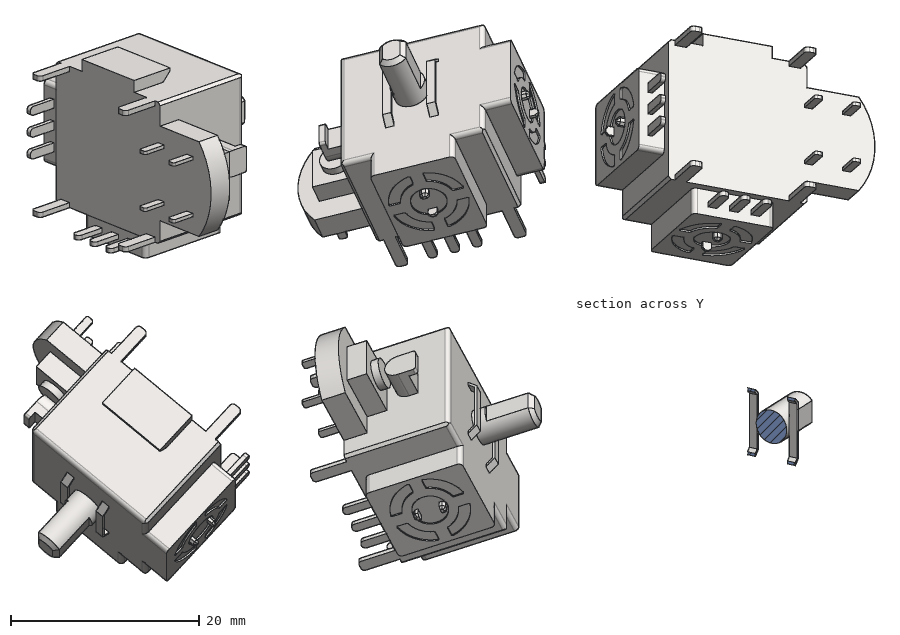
import cadquery as cq
import math


housing_width = 16.23
housing_height = 12.15
housing_corner_chamfer = 0.33
housing_top_fillet = 0.5
half_width = housing_width / 2

overlap = 0.55

stick_diameter = 3.85
stick_flat_width = 2.95
stick_flat_start = 13.7
stick_tip = 19.0
stick_tip_chamfer = 0.5
stick_root = 8.36

band_center_x = 2.48
band_width = 0.98
band_thickness = 0.28
band_top = 13.2
band_half_length = 3.23
band_bend_angle = 45

pot_depth = 2.95
pot_width = 9.48
pot_height = 11.15
pot_corner_fillet = 0.5
pot_center_y = housing_height - pot_height / 2
pot_face = half_width + pot_depth
recess_depth = 0.2
dial_diameter = 3.9
slot_inner_radius = 3.0
slot_outer_radius = 4.3
slot_rib_width = 1.45
slot_corner_fillet = 0.17

prong_width = 1.0
prong_thickness = 0.6
prong_protrusion = 0.75
prong_outer_span = 3.68
prong_side_chamfer = 0.28
prong_tip_chamfer = 0.28

terminal_width = 1.03
terminal_thickness = 0.53
terminal_end = -2.43
terminal_fillet = 0.47
terminal_pitch = 2.5
terminal_offset = 9.79

mount_pin_width = 1.35
mount_pin_thickness = 0.59
mount_pin_end = -4.32
mount_pin_fillet = 0.42
mount_pin_x = 6.65

switch_pin_width = 0.92
switch_pin_thickness = 0.4
switch_pin_end = -2.75
switch_pin_fillet = 0.25
switch_pin_z = 3.25
switch_pin_columns = (8.28, 12.75)


latch_width = 8.15
latch_depth = 1.37
latch_height = 5.2
latch_lip = 0.35
latch_slope = latch_depth - latch_lip

base_straight_end = 14.15
base_tip = 16.05
base_half_width = 5.45
base_height = 2.7
switch_center_x = 10.87
switch_top = 4.95
switch_size = 2 * (switch_center_x - half_width)
button_diameter = 3.35
button_top = 5.83

arm_end = 11.32
arm_bottom = 6.05
arm_radius = 1.5
arm_top = 8.6
hook_top = 9.6
hook_length = 0.7
hook_fillet = 0.28


def box(x0, x1, y0, y1, z0, z1):
    return cq.Workplane("XY").box(x1 - x0, y1 - y0, z1 - z0, centered=False).translate((x0, y0, z0))


def cylinder_y(diameter, x, y0, y1):
    """Cylinder along Y with its axis at Z = 0."""
    return cq.Workplane("XZ").circle(diameter / 2).extrude(-(y1 - y0)).translate((x, y0, 0))


def flat_pin(x, z, width, thickness, y_end, y_root, end_fillet):
    """Flat pin, wide along X, with the corners of its lower end rounded."""
    pin = box(x - width / 2, x + width / 2, y_end, y_root + overlap, z - thickness / 2, z + thickness / 2)
    return pin.faces("<Y").edges("|Z").fillet(end_fillet)


def make_housing():
    """Block with rounded upper edges, its four upright corners cut off flat."""
    block = box(-half_width, half_width, 0, housing_height, -half_width, half_width)
    chamfered = block.edges("|Y").chamfer(housing_corner_chamfer)
    rounded = block.faces(">Y").edges().fillet(housing_top_fillet)
    return rounded.intersect(chamfered)


def make_stick():
    """Round stick with two opposite flats; round side and flats share the same tip chamfer."""
    radius = stick_diameter / 2
    flat_x = stick_flat_width / 2
    round_stick = cylinder_y(stick_diameter, 0, stick_root, stick_tip).faces(">Y").chamfer(stick_tip_chamfer)
    half_profile = [
        (0, stick_root),
        (radius, stick_root),
        (radius, stick_flat_start),
        (flat_x, stick_flat_start),
        (flat_x, stick_tip - stick_tip_chamfer),
        (flat_x - stick_tip_chamfer, stick_tip),
        (0, stick_tip),
    ]
    flats = cq.Workplane("XY").polyline(half_profile).mirrorY().extrude(radius, both=True)
    return round_stick.intersect(flats)


def make_band(x):
    """Bent strip: level on top, with 45 degree legs running down into the housing."""
    foot = housing_height - band_thickness
    leg_drop = band_top - foot
    inner_half = band_half_length - band_thickness * math.tan(math.radians(band_bend_angle / 2))
    inner_top = band_top - band_thickness
    inner_foot = inner_half + inner_top - foot
    outline = [
        (foot, band_half_length + leg_drop),
        (band_top, band_half_length),
        (band_top, -band_half_length),
        (foot, -band_half_length - leg_drop),
        (foot, -inner_foot),
        (inner_top, -inner_half),
        (inner_top, inner_half),
        (foot, inner_foot),
    ]
    band = cq.Workplane("YZ").polyline(outline).close().extrude(band_width)
    return band.translate((x - band_width / 2, 0, 0))


def make_slots():
    """Four rounded quarter-ring recesses, separated by a plus-shaped rib."""
    ring = (
        cq.Workplane("XY")
        .circle(slot_outer_radius)
        .circle(slot_inner_radius)
        .extrude(recess_depth)
    )
    rib_length = 2 * slot_outer_radius
    ring = ring.cut(cq.Workplane("XY").rect(rib_length, slot_rib_width).extrude(recess_depth))
    ring = ring.cut(cq.Workplane("XY").rect(slot_rib_width, rib_length).extrude(recess_depth))
    return ring.edges("|Z").fillet(slot_corner_fillet)


def make_prong(side):
    """Half of the split shaft end; side is +1 for the upper prong and -1 for the lower one."""
    outer = side * prong_outer_span / 2
    inner = outer - side * prong_thickness
    y0, y1 = sorted((pot_center_y + outer, pot_center_y + inner))
    root = -pot_face + recess_depth
    prong = box(-prong_width / 2, prong_width / 2, y0, y1, -pot_face - prong_protrusion, root + overlap)
    outer_side, inner_side = (">Y", "<Y") if side > 0 else ("<Y", ">Y")
    prong = prong.faces(outer_side).edges("|Z").chamfer(prong_side_chamfer)
    return prong.faces("<Z").edges(f"not {inner_side}").chamfer(prong_tip_chamfer)


def make_pot():
    """Potentiometer on the -Z side."""
    half = pot_width / 2
    bottom = housing_height - pot_height
    pot = box(-half, half, bottom, housing_height, -pot_face, -half_width + overlap)
    pot = pot.edges("|Z").fillet(pot_corner_fillet)
    face_center = (0, pot_center_y, -pot_face)
    dial = cq.Workplane("XY").circle(dial_diameter / 2).extrude(recess_depth)
    pot = pot.cut(dial.translate(face_center))
    pot = pot.cut(make_slots().translate(face_center))
    for side in (1, -1):
        pot = pot.union(make_prong(side))
    for column in (-1, 0, 1):
        pot = pot.union(
            flat_pin(
                column * terminal_pitch, -terminal_offset, terminal_width, terminal_thickness,
                terminal_end, bottom, terminal_fillet,
            )
        )
    return pot


def make_latch():
    """Block whose upper end overhangs outward as a sloped lip."""
    outer_z = half_width + latch_depth
    outline = [
        (0, half_width - overlap),
        (0, outer_z),
        (latch_height, outer_z),
        (latch_height, outer_z - latch_lip),
        (latch_height - latch_slope, half_width),
        (latch_height - latch_slope, half_width - overlap),
    ]
    latch = cq.Workplane("YZ").polyline(outline).close().extrude(latch_width)
    return latch.translate((-latch_width / 2, 0, 0))


def make_switch():
    inner_x = half_width - overlap
    base = (
        cq.Workplane("XZ")
        .moveTo(inner_x, -base_half_width)
        .lineTo(base_straight_end, -base_half_width)
        .threePointArc((base_tip, 0), (base_straight_end, base_half_width))
        .lineTo(inner_x, base_half_width)
        .close()
        .extrude(-base_height)
    )
    half = switch_size / 2
    base = base.union(box(inner_x, switch_center_x + half, 0, switch_top, -half, half))
    base = base.union(cylinder_y(button_diameter, switch_center_x, base_height, button_top))
    for x in switch_pin_columns:
        for z in (-switch_pin_z, switch_pin_z):
            base = base.union(
                flat_pin(x, z, switch_pin_width, switch_pin_thickness, switch_pin_end, 0, switch_pin_fillet)
            )
    return base


def make_arm():
    """Round-bottomed arm with an upright hook at its free end."""
    inner_x = half_width - overlap
    center_y = arm_bottom + arm_radius
    arm = (
        cq.Workplane("YZ")
        .moveTo(arm_top, -arm_radius)
        .lineTo(center_y, -arm_radius)
        .threePointArc((arm_bottom, 0), (center_y, arm_radius))
        .lineTo(arm_top, arm_radius)
        .close()
        .extrude(arm_end - inner_x)
        .translate((inner_x, 0, 0))
    )
    hook = box(arm_end - hook_length, arm_end, center_y, hook_top, -arm_radius, arm_radius)
    return arm.union(hook.faces(">Y").edges("|X").fillet(hook_fillet))


result = make_housing().union(make_stick())
for band_x in (-band_center_x, band_center_x):
    result = result.union(make_band(band_x))

pot_z = make_pot()
pot_x = pot_z.rotate((0, 0, 0), (0, 1, 0), 90)
result = result.union(pot_z).union(pot_x)

result = result.union(make_latch()).union(make_switch()).union(make_arm())

mount_pin_z = half_width - mount_pin_thickness / 2
for pin_x in (-mount_pin_x, mount_pin_x):
    for pin_z in (-mount_pin_z, mount_pin_z):
        result = result.union(
            flat_pin(
                pin_x, pin_z, mount_pin_width, mount_pin_thickness, mount_pin_end, 0, mount_pin_fillet
            )
        )